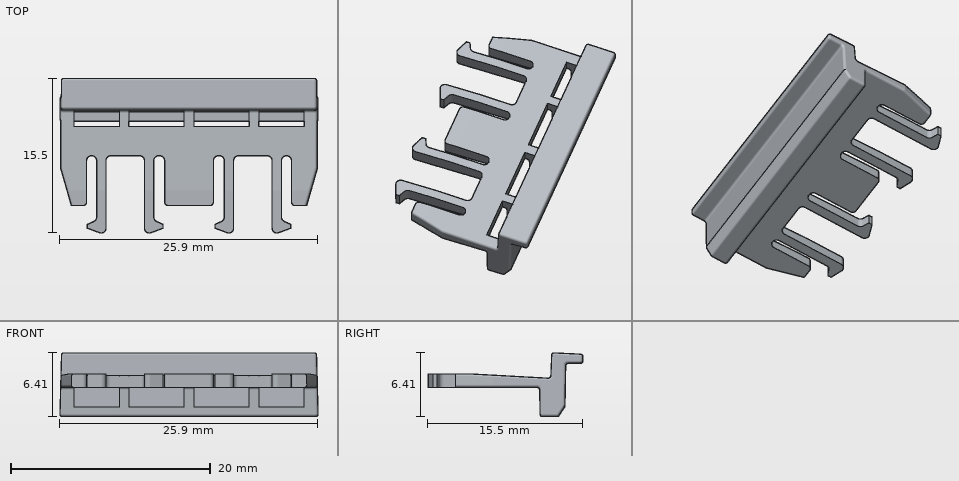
import cadquery as cq
import math

length = 25.9
depth = 15.5
height = 6.42
end_draft = 1.5
edge_round = 0.25

lip_rear_top = 6.27
lip_rear_bottom = 5.33
lip_root_z = 5.33
wall_rear = 1.7
foot_rear = 1.79
foot_bevel_z = 1.04
foot_bottom_rear = 2.45
foot_bottom_front = 4.3
foot_front = 4.35
wall_front_top = 3.13
wall_front = 3.24
root_round = 0.25

plate_bottom = 2.93
plate_root_top = 3.85
plate_top = 4.3
plate_crease = 11.25
plate_front = 12.76
side_break = 9.04
plate_front_half_width = 11.88

window_front = 4.82
window_floor = 0.98
windows = [(0.52, 6.03), (7.0, 11.52)]

slot_root = 7.77
slot_round = 0.47
tab_half_width = 2.45
inner_arm = (3.52, 4.48)
outer_arm = (8.3, 9.27)
side_tab_inner = 10.25
tab_round = 0.4

hook_reach = 0.93
hook_shoulder = 14.21
hook_nose_rear = 14.63
hook_flank_angle = 20.4
hook_round = 0.5

overlap = 1.3


def make_profile():
    """Rail and plate cross-section, drawn in Y and Z and run along X."""
    points = [
        (0, lip_rear_top),
        (-wall_front_top, height),
        (-wall_front, plate_root_top),
        (-plate_crease, plate_top),
        (-depth, plate_top),
        (-depth, plate_bottom),
        (-foot_front, plate_bottom),
        (-foot_bottom_front, 0),
        (-foot_bottom_rear, 0),
        (-foot_rear, foot_bevel_z),
        (-wall_rear, lip_root_z),
        (0, lip_rear_bottom),
    ]
    return cq.Workplane("YZ").polyline(points).close().extrude(length, both=True)


def near(body, y, z):
    """Edge of the body that runs along X and passes closest to the given Y and Z."""
    return body.edges("|X").edges(cq.selectors.NearestToPointSelector((0, y, z)))


def make_body():
    """Rounded rail and plate with drafted ends, before any openings are cut."""
    body = make_profile()
    for y, z in [
        (-wall_front, plate_root_top),
        (-foot_front, plate_bottom),
        (-wall_rear, lip_root_z),
    ]:
        body = near(body, y, z).fillet(root_round)
    for y, z in [
        (0, lip_rear_top),
        (0, lip_rear_bottom),
        (-wall_front_top, height),
        (-foot_bottom_front, 0),
        (-foot_bottom_rear, 0),
    ]:
        body = near(body, y, z).fillet(edge_round)

    half = length / 2 + edge_round * math.tan(math.radians(end_draft))
    slope = (half - plate_front_half_width) / (plate_front - side_break)
    front = depth + overlap
    rear = overlap
    front_half = half - slope * (front - side_break)
    envelope = (
        cq.Workplane("XY")
        .polyline([
            (-half, rear), (half, rear), (half, -side_break), (front_half, -front),
            (-front_half, -front), (-half, -side_break),
        ])
        .close()
        .extrude(height, taper=end_draft)
    )
    return round_ends(body.intersect(envelope))


def round_ends(body):
    """Round the rim of both ends, leaving their upright edges sharp."""
    end_zone = side_tab_inner
    flat_limit = 0.9

    def is_rim(edge):
        return abs(edge.Center().x) > end_zone

    def is_upright_on_plate(edge):
        return abs(edge.tangentAt(0.5).z) > flat_limit and edge.Center().y < -foot_front - root_round

    rim = body.edges("not |X").filter(lambda edge: is_rim(edge) and not is_upright_on_plate(edge))
    return rim.fillet(edge_round)


def block(x_start, x_end, front, rear):
    """Box between two X positions and two distances from the rear, up to the full height."""
    size = (x_end - x_start, front - rear, height)
    return cq.Workplane("XY").box(*size, centered=False).translate((x_start, -front, 0))


def make_snap_arm(root_x, back_x):
    """Arm between back_x and root_x, with a hook reaching out past root_x."""
    direction = math.copysign(1, root_x - back_x)
    nose_x = root_x + direction * hook_reach
    flank_angle = math.radians(hook_flank_angle)
    flank_slope = math.tan(flank_angle)
    tip_corner = depth + hook_round * (1 / math.cos(flank_angle) + flank_slope - 1)
    nose_front = tip_corner - flank_slope * abs(nose_x - back_x)
    arm = (
        cq.Workplane("XY")
        .polyline([
            (back_x, -slot_root + overlap),
            (root_x, -slot_root + overlap),
            (root_x, -hook_shoulder),
            (nose_x, -hook_nose_rear),
            (nose_x, -nose_front),
            (back_x, -tip_corner),
        ])
        .close()
        .extrude(height)
    )
    for x, y in [(root_x, -hook_shoulder), (back_x, -tip_corner)]:
        arm = arm.edges(cq.selectors.NearestToPointSelector((x, y, height / 2))).fillet(hook_round)
    return arm


def make_plan():
    """Full-height prism of the plan outline: rear panel, tabs and snap arms."""
    plan = block(-length, length, slot_root, -overlap)
    center_tab = block(-tab_half_width, tab_half_width, plate_front, slot_root - overlap)
    plan = plan.union(center_tab.edges("|Z and <Y").fillet(tab_round))
    side_tab = block(side_tab_inner, length, plate_front, slot_root - overlap)
    side_tab = side_tab.edges("|Z and <Y and <X").fillet(tab_round)
    inner_start, inner_end = inner_arm
    outer_start, outer_end = outer_arm
    for piece in (
        side_tab,
        make_snap_arm(inner_start, inner_end),
        make_snap_arm(outer_end, outer_start),
    ):
        plan = plan.union(piece).union(piece.mirror("YZ"))
    reach = side_tab_inner + slot_round
    root_zone = cq.selectors.BoxSelector(
        (-reach, -slot_root - slot_round, 0), (reach, -slot_root + slot_round, height)
    )
    return plan.edges("|Z").edges(root_zone).fillet(slot_round)


def make_windows():
    """Openings through the plate and into the foot, flush with the leaning wall front."""
    wall_lean = (wall_front - wall_front_top) / (height - plate_root_top)
    rear_at_floor = wall_front + wall_lean * (plate_root_top - window_floor)
    section = [
        (-window_front, window_floor),
        (-rear_at_floor, window_floor),
        (-wall_front_top, height),
        (-window_front, height),
    ]
    openings = cq.Workplane("XY")
    for x_start, x_end in windows:
        opening = (
            cq.Workplane("YZ", origin=(x_start, 0, 0))
            .polyline(section)
            .close()
            .extrude(x_end - x_start)
        )
        openings = openings.add(opening).add(opening.mirror("YZ"))
    return openings.combine()


result = make_body().intersect(make_plan()).cut(make_windows())